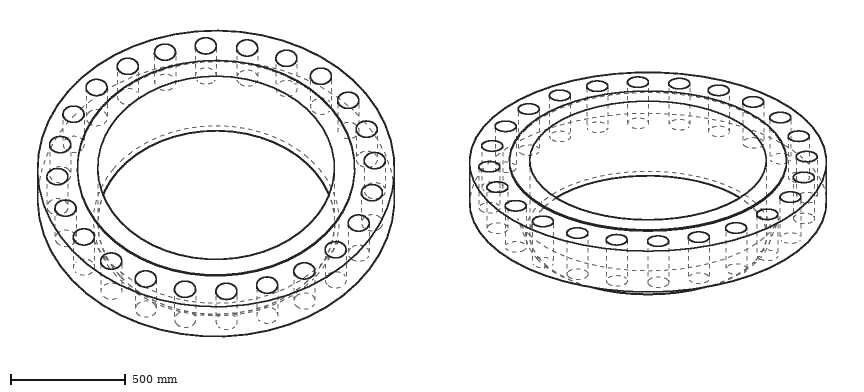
import cadquery as cq

overall_height = 377.82
flange_diameter = 1562.1
flange_thickness = 206.375
raised_face_diameter = 1212.85
raised_face_height = 6.35
bore_diameter = 1035.05

hub_base_diameter = 1174.75
hub_end_diameter = 1075.0
hub_fillet_radius = 15.0

bevel_height = 13.0
weld_land_width = 1.6

bolt_count = 24
bolt_circle_diameter = 1390.65
bolt_hole_diameter = 92.075

bore_radius = bore_diameter / 2
flange_radius = flange_diameter / 2
raised_face_radius = raised_face_diameter / 2
hub_base_radius = hub_base_diameter / 2
hub_end_radius = hub_end_diameter / 2

flange_top = overall_height - raised_face_height
flange_bottom = flange_top - flange_thickness


def make_body():
    """Revolve the half section of hub, flange and raised face around Z."""
    section_plane = cq.Plane(origin=(0, 0, 0), xDir=(-1, 0, 0), normal=(0, 1, 0))
    section = (
        cq.Workplane(section_plane)
        .moveTo(bore_radius, 0)
        .lineTo(bore_radius + weld_land_width, 0)
        .lineTo(hub_end_radius, bevel_height)
        .lineTo(hub_base_radius, flange_bottom)
        .lineTo(flange_radius, flange_bottom)
        .lineTo(flange_radius, flange_top)
        .lineTo(raised_face_radius, flange_top)
        .lineTo(raised_face_radius, overall_height)
        .lineTo(bore_radius, overall_height)
        .close()
    )
    return section.revolve(360, (0, 0, 0), (0, 1, 0))


def fillet_hub_base(body):
    """Round the inside corner where the hub meets the flange."""
    margin = hub_fillet_radius / 10
    reach = hub_base_radius + margin
    around_corner = cq.selectors.BoxSelector(
        (-reach, -reach, flange_bottom - margin),
        (reach, reach, flange_bottom + margin),
        boundingbox=True,
    )
    return body.edges(around_corner).fillet(hub_fillet_radius)


def drill_bolt_holes(body):
    """Drill the ring of through holes, the first one on the +X axis."""
    return (
        body.faces(">Z")
        .workplane(origin=(0, 0, overall_height))
        .polarArray(bolt_circle_diameter / 2, 0, 360, bolt_count)
        .hole(bolt_hole_diameter)
    )


result = drill_bolt_holes(fillet_hub_base(make_body()))